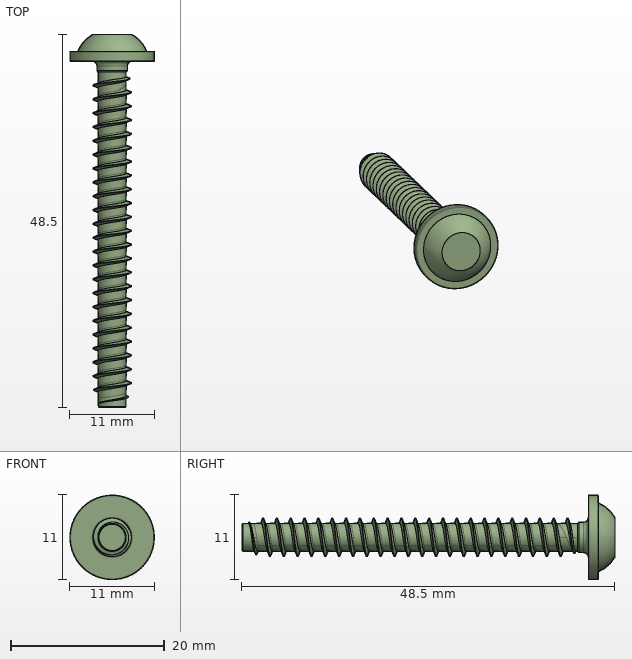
import cadquery as cq
import math


head_height = 3.5
flange_diameter = 11.0
flange_thickness = 1.3
flange_edge_radius = 0.1
dome_base_diameter = 9.0
dome_top_diameter = 5.1
dome_bulge = 0.25

shank_length = 45.0
neck_diameter = 4.0
neck_length = 1.2
neck_fillet = 0.6
core_diameter = 3.62
tip_chamfer = 0.1

thread_diameter = 5.0
pitch = 1.8
flank_half_width = 0.29
crest_half_width = 0.03
foot_rise = 0.06
foot_reach = 1.28
toe_sink = 0.005
root_sink = 0.1
thread_phase_depth = 2.24
start_turn = -0.62
full_start_turn = 0.2
full_end_turn = 22.35
end_turn = 23.65
end_size = 0.08
split_turn = 0.9
points_per_turn = 16


def make_flange():
    """Washer-like disc of the head with rounded rims."""
    disc = cq.Workplane("XZ").circle(flange_diameter / 2).extrude(-flange_thickness)
    return disc.edges("%CIRCLE").fillet(flange_edge_radius)


def make_head_and_shank():
    """Dome, neck and core as one solid of revolution."""
    core_radius = core_diameter / 2
    neck_radius = neck_diameter / 2
    base_radius = dome_base_diameter / 2
    top_radius = dome_top_diameter / 2
    dome_height = head_height - flange_thickness
    chord = math.hypot(base_radius - top_radius, dome_height)
    bulge_x = (base_radius + top_radius) / 2 + dome_bulge * dome_height / chord
    bulge_y = (flange_thickness + head_height) / 2 + dome_bulge * (base_radius - top_radius) / chord
    fillet_reach = neck_fillet * (1 - math.sqrt(0.5))
    profile = (
        cq.Workplane("XY")
        .moveTo(0, head_height)
        .lineTo(top_radius, head_height)
        .threePointArc((bulge_x, bulge_y), (base_radius, flange_thickness))
        .lineTo(base_radius, 0)
        .lineTo(neck_radius + neck_fillet, 0)
        .threePointArc((neck_radius + fillet_reach, -fillet_reach), (neck_radius, -neck_fillet))
        .lineTo(neck_radius, -neck_length)
        .lineTo(core_radius, -neck_length - (neck_radius - core_radius))
        .lineTo(core_radius, -shank_length + tip_chamfer)
        .lineTo(core_radius - tip_chamfer, -shank_length)
        .lineTo(0, -shank_length)
        .close()
    )
    return profile.revolve(360, (0, 0, 0), (0, 1, 0))


def tooth_size(turn):
    """Relative size of the tooth section, growing and shrinking at the thread ends."""
    run_in = (turn - start_turn) / (full_start_turn - start_turn)
    run_out = (end_turn - turn) / (end_turn - full_end_turn)
    return end_size + (1 - end_size) * min(1, run_in, run_out)


def tooth_section():
    """Corners of the full tooth as (axial offset toward the tip, height above the sunken root)."""
    crest_height = (thread_diameter - core_diameter) / 2
    flank_slope = (flank_half_width - crest_half_width) / crest_height
    foot_start = flank_half_width - flank_slope * foot_rise
    foot_slope = foot_rise / (foot_reach - foot_start)
    toe_offset = foot_reach + toe_sink / foot_slope
    return [
        (-flank_half_width - flank_slope * root_sink, 0),
        (-crest_half_width, root_sink + crest_height),
        (crest_half_width, root_sink + crest_height),
        (foot_start, root_sink + foot_rise),
        (toe_offset, root_sink - toe_sink),
        (toe_offset, 0),
    ]


def helix_edge(offset, height, first_turn, last_turn):
    """Right-handed curve followed by one corner of the tooth section."""
    root_radius = core_diameter / 2 - root_sink
    count = math.ceil((last_turn - first_turn) * points_per_turn)
    parameters = [i / count for i in range(count + 1)]
    points = []
    for parameter in parameters:
        turn = first_turn + (last_turn - first_turn) * parameter
        angle = 2 * math.pi * turn
        size = tooth_size(turn)
        radius = root_radius + size * height
        depth = thread_phase_depth + pitch * turn + size * offset
        points.append(cq.Vector(radius * math.cos(angle), -depth, radius * math.sin(angle)))
    return cq.Edge.makeSpline(points, parameters=parameters)


def make_tooth(first_turn, last_turn):
    """One length of thread, bounded by ruled helical faces and two flat end faces."""
    edges = [helix_edge(offset, height, first_turn, last_turn) for offset, height in tooth_section()]
    faces = [cq.Face.makeRuledSurface(a, b) for a, b in zip(edges, edges[1:] + edges[:1])]
    for position in (0, 1):
        outline = [edge.positionAt(position) for edge in edges]
        faces.append(cq.Face.makeFromWires(cq.Wire.makePolygon(outline, close=True)))
    return cq.Solid.makeSolid(cq.Shell.makeShell(faces)).fix()


def make_thread_pieces():
    """The thread in lengths of one turn, joined on the -Z side, with shorter lengths at the ends."""
    first_split = math.ceil(start_turn - split_turn) + split_turn
    split_count = math.ceil(end_turn - first_split)
    splits = [start_turn] + [first_split + i for i in range(split_count)] + [end_turn]
    return [make_tooth(a, b) for a, b in zip(splits, splits[1:])]


body = make_head_and_shank().union(make_flange()).val()
result = cq.Workplane(body.fuse(*make_thread_pieces()))